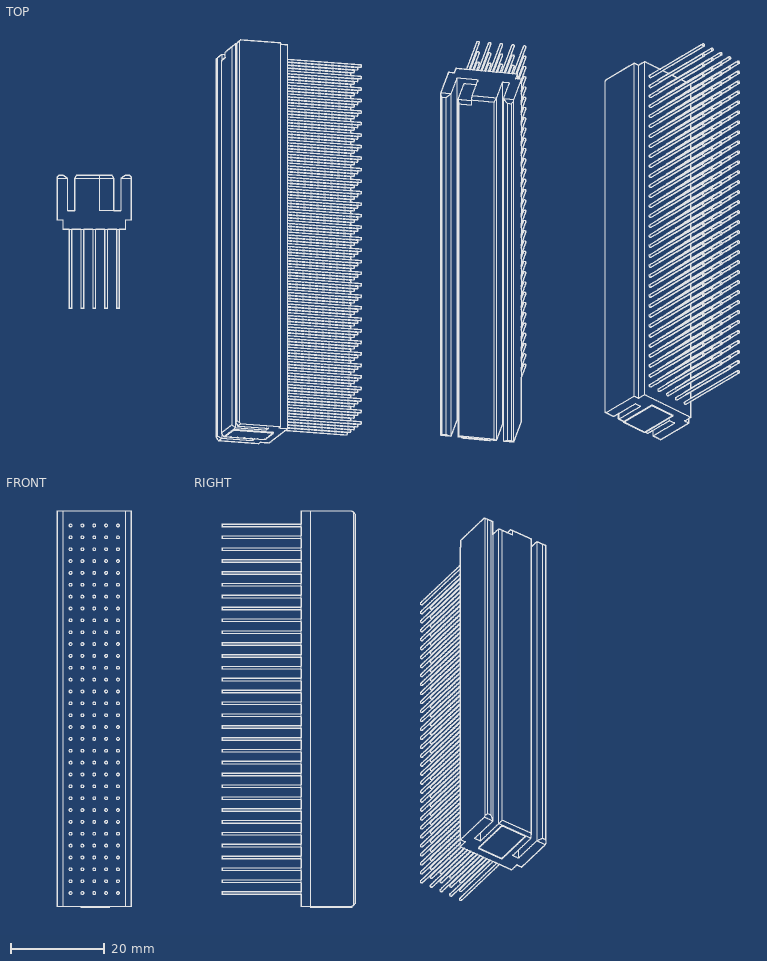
import cadquery as cq

width = 15.9
total_depth = 28.58
total_height = 84.95
pad_height = 0.2
height = total_height - pad_height

pitch = 2.54
pin_columns = 5
pin_rows = 32
pin_diameter = 0.6
pin_length = 16.95

depth = total_depth - pin_length
base_width = 13.4
base_depth = 1.95
floor_y = 4.02
wall_thickness = 2.25
tongue_half_width = 4.2

tip_chamfer = 0.4
tip_chamfer_depth = 0.7
wall_inner_chamfer = 1.0

recess_start_x = 1.14
recess_depth = 1.25

pad_left_x = -2.8
pad_right_x = 3.3

half_width = width / 2
pin_field_center_z = total_height / 2 - pad_height
wall_inner_x = half_width - wall_thickness


def extrude_up(outline, length):
    """Extrude a closed XY outline upwards from Z = 0."""
    return cq.Workplane("XY").polyline(outline).close().extrude(length)


def make_base():
    """Stepped slab that carries the pins."""
    foot = cq.Workplane("XY").box(base_width, floor_y, height, centered=(True, False, False))
    shoulder = cq.Workplane("XY").box(
        width, floor_y - base_depth, height, centered=(True, False, False)
    )
    return foot.union(shoulder.translate((0, base_depth, 0)))


def make_wall():
    """Right-hand side wall with a chamfered tip."""
    return extrude_up(
        [
            (wall_inner_x, base_depth),
            (half_width, base_depth),
            (half_width, depth - tip_chamfer),
            (half_width - tip_chamfer, depth),
            (wall_inner_x + wall_inner_chamfer, depth),
            (wall_inner_x, depth - tip_chamfer_depth),
        ],
        height,
    )


def make_tongue():
    """Central tongue with a chamfered tip."""
    shoulder_y = depth - tip_chamfer_depth
    tip_half_width = tongue_half_width - tip_chamfer
    return extrude_up(
        [
            (-tongue_half_width, base_depth),
            (tongue_half_width, base_depth),
            (tongue_half_width, shoulder_y),
            (tip_half_width, depth),
            (-tip_half_width, depth),
            (-tongue_half_width, shoulder_y),
        ],
        height,
    )


def make_end_trim(x_start, x_end, z_end):
    """Wedge that chamfers the tips between two X positions where their top is at z_end."""
    wedge = (
        cq.Workplane("YZ")
        .polyline(
            [
                (depth, z_end - tip_chamfer_depth),
                (depth, z_end),
                (depth - tip_chamfer_depth, z_end),
            ]
        )
        .close()
        .extrude(x_end - x_start)
    )
    return wedge.translate((x_start, 0, 0))


def make_recess():
    """Space removed from the upper end of the tongue."""
    recess = cq.Workplane("XY").box(
        wall_inner_x - recess_start_x, depth - floor_y, recess_depth, centered=False
    )
    return recess.translate((recess_start_x, floor_y, height - recess_depth))


def make_pad():
    """Raised pad on the lower end."""
    pad_width = pad_right_x - pad_left_x
    pad_depth = depth - tip_chamfer_depth - base_depth
    pad = cq.Workplane("XY").box(pad_width, pad_depth, pad_height, centered=False)
    return pad.translate((pad_left_x, base_depth, -pad_height))


def make_pins():
    """Grid of round pins reaching forward from the base."""
    return (
        cq.Workplane("XZ")
        .center(0, pin_field_center_z)
        .rarray(pitch, pitch, pin_columns, pin_rows)
        .circle(pin_diameter / 2)
        .extrude(pin_length)
    )


wall = make_wall()
housing = make_base().union(wall).union(wall.mirror("YZ")).union(make_tongue())

upper_trim = make_end_trim(-half_width, half_width, height)
lower_trim = upper_trim.mirror("XY").translate((0, 0, height))
recess_trim = make_end_trim(recess_start_x, tongue_half_width, height - recess_depth)
housing = housing.cut(upper_trim).cut(lower_trim)
housing = housing.cut(make_recess()).cut(recess_trim)

result = housing.union(make_pad()).union(make_pins())